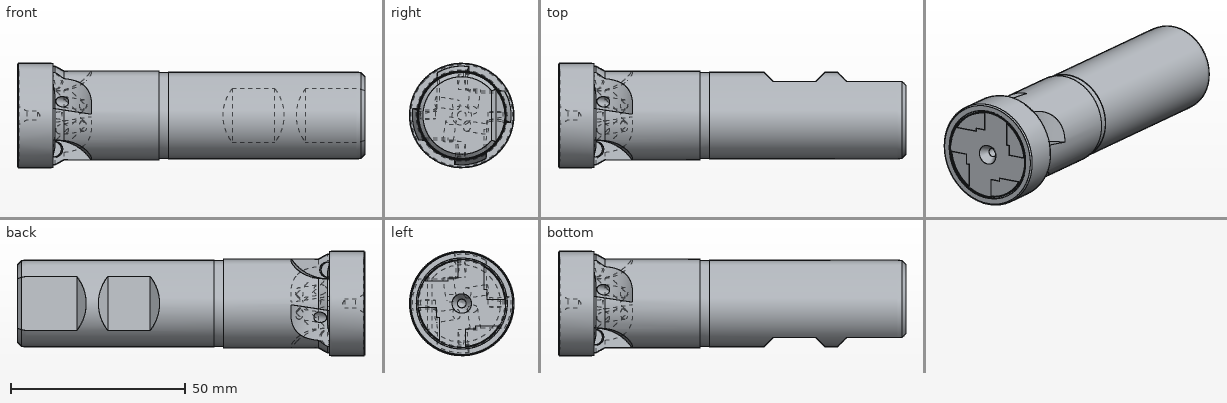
import cadquery as cq
import math

total_length = 99.9
head_length = 10.3
collar_end = 10.9
neck_cone_end = 13.4
body_end = 40.8
relief_end = 43.4
end_chamfer = 1.2
lead_taper_length = 1.2

head_diameter = 30.1
head_back_diameter = 29.9
hub_base_diameter = 23.0
hub_tip_diameter = 17.6
collar_diameter = 28.4
body_diameter = 25.6
relief_diameter = 24.8
shank_diameter = 25.0
lead_taper_diameter = 24.7

face_corner = 0.4
back_taper_length = 0.7

groove_diameter = 26.2
groove_depth = 0.5
face_pad_diameter = 25.3
face_pad_depth = 0.1
seat_recess_depth = 0.3
seat_diameter = 24.8

seat_floor = 1.1
seat_wall = 7.3
step_floor = 4.0
flute_wall_at_face = 6.4

flute_count = 4
flute_floor_tilt = 8.7
flute_floor_height = 2.0
flute_wall = 7.1
flute_arc_radius = 13.0
flute_arc_start = 10.6
flute_arc_sweep = 80.0
flute_reach = 20.0

coolant_diameter = 3.0
coolant_x = 12.9
coolant_height = 2.3
coolant_depth = 8.0
coolant_lean = 46.0

screw_diameter = 4.4
screw_x = 10.9
screw_offset = 9.7
screw_depth = 2.8

countersink_diameter = 5.7
centre_hole_diameter = 2.5
countersink_angle = 60.0
centre_hole_length = 3.0
drill_tip_angle = 118.0

flat_height = 9.8
first_flat = (61.8, 74.0)
second_flat_start = 82.9


def revolve_about_x(points):
    """Turn an (x, radius) outline into a solid around the X axis."""
    outline = cq.Workplane("XY").polyline(points).close()
    return outline.revolve(360, (0, 0, 0), (1, 0, 0))


def cut_around_x(solid, cutter):
    """Cut one copy of a cutter for each flute, evenly spaced around the X axis."""
    for index in range(flute_count):
        solid = solid.cut(cutter.rotate((0, 0, 0), (1, 0, 0), index * 360 / flute_count))
    return solid


def make_head():
    radius = head_diameter / 2
    return revolve_about_x([
        (0, 0),
        (0, radius - face_corner),
        (face_corner, radius),
        (head_length - back_taper_length, radius),
        (head_length, head_back_diameter / 2),
        (head_length, hub_base_diameter / 2),
        (collar_end, hub_tip_diameter / 2),
        (collar_end, 0),
    ])


def make_face_recess():
    """Ring groove in the cutting face with a slightly sunken pad inside it."""
    groove = cq.Workplane("YZ").circle(groove_diameter / 2).circle(face_pad_diameter / 2)
    pad = cq.Workplane("YZ").circle(face_pad_diameter / 2)
    return groove.extrude(groove_depth), pad.extrude(face_pad_depth)


def make_seat_recess():
    """Shallow stepped recess that marks one insert seat on the cutting face."""
    outline = (
        cq.Workplane("YZ")
        .polyline([
            (-flute_reach, seat_floor),
            (-seat_wall, seat_floor),
            (-seat_wall, step_floor),
            (-flute_wall_at_face, step_floor),
            (-flute_wall_at_face, flute_reach),
            (-flute_reach, flute_reach),
        ])
        .close()
        .extrude(seat_recess_depth)
    )
    boundary = cq.Workplane("YZ").circle(seat_diameter / 2).extrude(seat_recess_depth)
    return outline.intersect(boundary)


def make_body():
    return revolve_about_x([
        (head_length, 0),
        (head_length, collar_diameter / 2),
        (collar_end, collar_diameter / 2),
        (neck_cone_end, body_diameter / 2),
        (body_end, body_diameter / 2),
        (body_end, relief_diameter / 2),
        (relief_end, relief_diameter / 2),
        (relief_end, shank_diameter / 2),
        (total_length - end_chamfer - lead_taper_length, shank_diameter / 2),
        (total_length - end_chamfer, lead_taper_diameter / 2),
        (total_length, lead_taper_diameter / 2 - end_chamfer),
        (total_length, 0),
    ])


def tilt_onto_floor(shape):
    """Tilt a shape about the Y axis and set it on the sloping flute floor."""
    tilted = shape.rotate((0, 0, 0), (0, 1, 0), flute_floor_tilt)
    return tilted.translate((flute_arc_start, 0, flute_floor_height))


def make_flute():
    """Cutter with a tilted flat floor and an upright wall that curves out towards -Y."""
    arc_end_angle = math.radians(flute_arc_sweep)
    arc_middle = arc_end_angle / 2

    def arc_point(angle):
        return (flute_arc_radius * math.sin(angle),
                -flute_wall - flute_arc_radius * (1 - math.cos(angle)))

    outline = (
        cq.Workplane("XY")
        .moveTo(-flute_arc_start, -flute_wall_at_face)
        .lineTo(0, -flute_wall)
        .threePointArc(arc_point(arc_middle), arc_point(arc_end_angle))
        .lineTo(arc_point(arc_end_angle)[0], -flute_reach)
        .lineTo(-flute_arc_start, -flute_reach)
        .close()
        .extrude(flute_reach)
    )
    return tilt_onto_floor(outline)


def make_coolant_hole():
    """Blind hole that leans back along the flute from its mouth in the wall."""
    lean = math.radians(coolant_lean)
    mouth = cq.Vector(coolant_x - flute_arc_start, -flute_wall, coolant_height)
    direction = cq.Vector(math.sin(lean), math.cos(lean), 0)
    hole = cq.Solid.makeCylinder(
        coolant_diameter / 2, 2 * coolant_depth, mouth - direction * coolant_depth, direction)
    return tilt_onto_floor(cq.Workplane(hole))


def make_screw_pocket():
    pocket = (
        cq.Workplane("XY")
        .center(screw_x - flute_arc_start, -screw_offset)
        .circle(screw_diameter / 2)
        .extrude(-screw_depth)
    )
    return tilt_onto_floor(pocket)


def make_centre_hole():
    rim = countersink_diameter / 2
    bore = centre_hole_diameter / 2
    cone_depth = (rim - bore) / math.tan(math.radians(countersink_angle / 2))
    bore_end = cone_depth + centre_hole_length
    tip_depth = bore / math.tan(math.radians(drill_tip_angle / 2))
    return revolve_about_x([
        (0, 0),
        (0, rim),
        (cone_depth, bore),
        (bore_end, bore),
        (bore_end + tip_depth, 0),
    ])


def make_flat(start, end):
    rise = shank_diameter / 2 - flat_height
    return (
        cq.Workplane("XY")
        .polyline([
            (start, flat_height),
            (end, flat_height),
            (end + rise, flat_height + rise),
            (start - rise, flat_height + rise),
        ])
        .close()
        .extrude(shank_diameter, both=True)
    )


def make_flat_chamfer():
    """Wedge that breaks the edge between the rear flat and the end face."""
    return (
        cq.Workplane("XY")
        .polyline([
            (total_length - end_chamfer, flat_height),
            (total_length, flat_height),
            (total_length, flat_height - end_chamfer),
        ])
        .close()
        .extrude(shank_diameter, both=True)
    )


body = make_body()
for cutter in (make_flute(), make_coolant_hole(), make_screw_pocket()):
    body = cut_around_x(body, cutter)
body = body.cut(make_flat(*first_flat))
body = body.cut(make_flat(second_flat_start, total_length))
body = body.cut(make_flat_chamfer())

head = make_head()
for recess in make_face_recess():
    head = head.cut(recess)
head = cut_around_x(head, make_seat_recess())

result = head.union(body).cut(make_centre_hole())